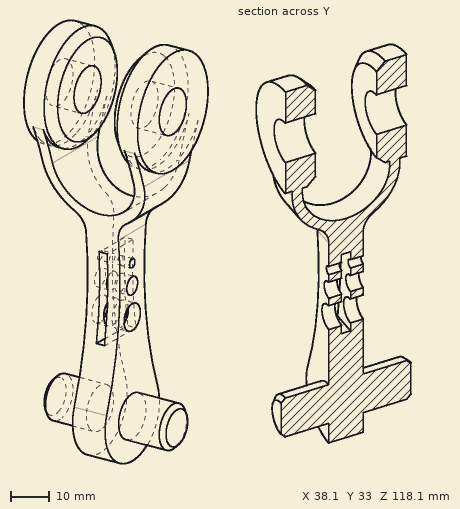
import cadquery as cq
import math

base_radius = 12.7
pin_z = base_radius
eye_z = 101.6
fork_z = 83.82

pin_radius = 6.35
pin_length = 38.1
pin_chamfer = 1.27

eye_radius = 16.51
eye_bore_diameter = 12.7
eye_outer_x = 17.78
eye_inner_x = 8.89
eye_chamfer = 2.54

fork_inner_radius = 12.7
fork_wall = 3.175
fork_outer_radius = fork_inner_radius + fork_wall
shank_half_width = 5.08
neck_fillet = 6.35

flank_radius = 101.6

slot_width = 2.54
slot_bottom_z = 34.29
slot_top_z = 59.69

shank_holes = [(7.62, 40.64), (5.08, 49.53), (2.54, 55.88)]


def x_cylinder(radius, x_start, x_end, z):
    """Cylinder along X between two X positions."""
    return (
        cq.Workplane("YZ", origin=(x_start, 0, z))
        .circle(radius)
        .extrude(x_end - x_start)
    )


def make_fork_and_shank():
    """Y-shaped profile in XZ, thick enough to be trimmed by the flanks."""
    depth = 2 * eye_radius

    def box(width, bottom, top):
        return cq.Workplane("XY", origin=(0, 0, bottom)).rect(width, depth).extrude(top - bottom)

    def y_cylinder(radius):
        return cq.Workplane("XZ", origin=(0, 0, fork_z)).circle(radius).extrude(depth / 2, both=True)

    neck_x = shank_half_width + neck_fillet
    centre_distance = fork_outer_radius + neck_fillet
    neck_z = fork_z - math.sqrt(centre_distance**2 - neck_x**2)
    touch_ratio = fork_outer_radius / centre_distance
    touch_x = neck_x * touch_ratio
    touch_z = fork_z + (neck_z - fork_z) * touch_ratio
    bisector = (math.pi + math.atan2(fork_z - neck_z, -neck_x)) / 2
    mid_x = neck_x + neck_fillet * math.cos(bisector)
    mid_z = neck_z + neck_fillet * math.sin(bisector)

    neck = (
        cq.Workplane("XZ")
        .moveTo(-shank_half_width, neck_z)
        .lineTo(shank_half_width, neck_z)
        .threePointArc((mid_x, mid_z), (touch_x, touch_z))
        .lineTo(-touch_x, touch_z)
        .threePointArc((-mid_x, mid_z), (-shank_half_width, neck_z))
        .close()
        .extrude(depth / 2, both=True)
    )
    shank = box(2 * shank_half_width, 0, neck_z)
    arms = box(2 * fork_outer_radius, fork_z, eye_z)
    arm_gap = box(2 * fork_inner_radius, fork_z, eye_z)
    solid = shank.union(neck).union(y_cylinder(fork_outer_radius)).union(arms)
    return solid.cut(y_cylinder(fork_inner_radius)).cut(arm_gap)


def make_side_envelope():
    """Side outline in YZ: a round base and two flank arcs that run tangent into the eye discs.

    The outline closes straight across, inside the discs, where the flanks meet their rims.
    """
    base_distance = flank_radius + base_radius
    eye_distance = flank_radius + eye_radius
    span = eye_z - pin_z
    flank_rise = (span**2 + base_distance**2 - eye_distance**2) / (2 * span)
    flank_z = pin_z + flank_rise
    flank_y = math.sqrt(base_distance**2 - flank_rise**2)
    waist = flank_y - flank_radius

    base_y = flank_y * base_radius / base_distance
    base_z = pin_z + flank_rise * base_radius / base_distance
    eye_y = flank_y * eye_radius / eye_distance
    eye_touch_z = eye_z + (flank_z - eye_z) * eye_radius / eye_distance

    return (
        cq.Workplane("YZ")
        .moveTo(base_y, base_z)
        .threePointArc((waist, flank_z), (eye_y, eye_touch_z))
        .lineTo(-eye_y, eye_touch_z)
        .threePointArc((-waist, flank_z), (-base_y, base_z))
        .threePointArc((0, pin_z - base_radius), (base_y, base_z))
        .close()
        .extrude(eye_outer_x, both=True)
    )


def make_eye_discs():
    """Pair of discs at the fork tips, chamfered on the facing rims."""
    right = x_cylinder(eye_radius, eye_inner_x, eye_outer_x, eye_z).faces("<X").chamfer(eye_chamfer)
    return right.union(right.mirror("YZ"))


def make_pin():
    """Cross pin with both ends chamfered."""
    pin = x_cylinder(pin_radius, -pin_length / 2, pin_length / 2, pin_z)
    return pin.faces("<X or >X").chamfer(pin_chamfer)


def make_slot():
    """Rectangular cutter running through the shank along Y."""
    height = slot_top_z - slot_bottom_z
    middle_z = (slot_top_z + slot_bottom_z) / 2
    return cq.Workplane("XY", origin=(0, 0, middle_z)).box(slot_width, 2 * base_radius, height)


link = make_fork_and_shank().intersect(make_side_envelope())
link = link.union(make_eye_discs()).union(make_pin())
link = link.cut(make_slot())
link = link.cut(x_cylinder(eye_bore_diameter / 2, -eye_outer_x, eye_outer_x, eye_z))
for hole_diameter, hole_z in shank_holes:
    link = link.cut(x_cylinder(hole_diameter / 2, -shank_half_width, shank_half_width, hole_z))

result = link